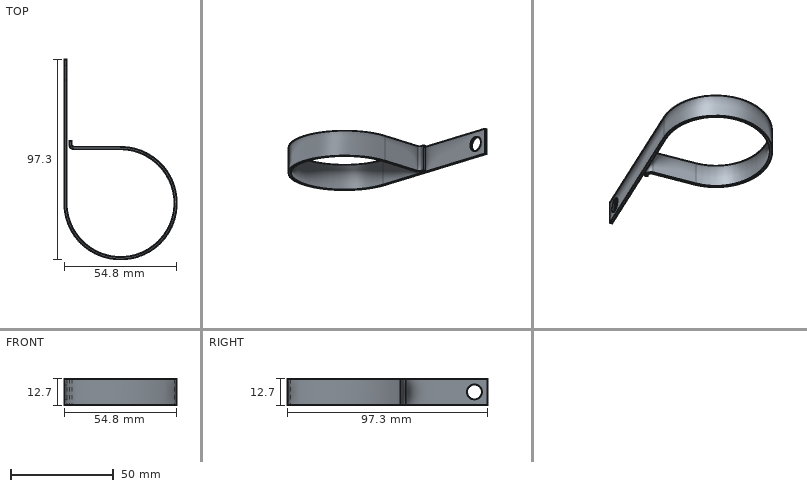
import cadquery as cq
import math

INCH = 25.4
width = 0.5 * INCH
thickness = 0.049 * INCH

inner_radius = 2.06 * INCH / 2
outer_radius = inner_radius + thickness

tail_length = 2.75 * INCH
hole_diameter = 0.28125 * INCH
hole_to_tail_end = 0.25 * INCH

lip_gap = 1.16
lip_height = 4.05
bend_inner_radius = 1.26
bend_outer_radius = bend_inner_radius + thickness

lip_outer_x = -inner_radius + lip_gap
lip_inner_x = lip_outer_x + thickness
lip_end_y = inner_radius + lip_height
bend_center_x = lip_outer_x + bend_outer_radius
bend_center_y = inner_radius + bend_outer_radius

DIAGONAL = math.sqrt(0.5)


def make_strap():
    """Bent strip: tail, three-quarter loop, short leg and lip, centred on Z = 0."""
    loop_mid_inner = (inner_radius * DIAGONAL, -inner_radius * DIAGONAL)
    loop_mid_outer = (outer_radius * DIAGONAL, -outer_radius * DIAGONAL)
    bend_mid_inner = (
        bend_center_x - bend_inner_radius * DIAGONAL,
        bend_center_y - bend_inner_radius * DIAGONAL,
    )
    bend_mid_outer = (
        bend_center_x - bend_outer_radius * DIAGONAL,
        bend_center_y - bend_outer_radius * DIAGONAL,
    )
    outline = (
        cq.Workplane("XY")
        .moveTo(-outer_radius, tail_length)
        .lineTo(-outer_radius, 0)
        .threePointArc(loop_mid_outer, (0, outer_radius))
        .lineTo(bend_center_x, outer_radius)
        .threePointArc(bend_mid_inner, (lip_inner_x, bend_center_y))
        .lineTo(lip_inner_x, lip_end_y)
        .lineTo(lip_outer_x, lip_end_y)
        .lineTo(lip_outer_x, bend_center_y)
        .threePointArc(bend_mid_outer, (bend_center_x, inner_radius))
        .lineTo(0, inner_radius)
        .threePointArc(loop_mid_inner, (-inner_radius, 0))
        .lineTo(-inner_radius, tail_length)
        .close()
    )
    return outline.extrude(width / 2, both=True)


def make_tail_hole():
    """Cylinder along X that passes through the tail only."""
    drill_length = 2 * thickness
    tail_mid_x = -outer_radius + thickness / 2
    return (
        cq.Workplane("YZ", origin=(tail_mid_x, tail_length - hole_to_tail_end, 0))
        .circle(hole_diameter / 2)
        .extrude(drill_length / 2, both=True)
    )


result = make_strap().cut(make_tail_hole())